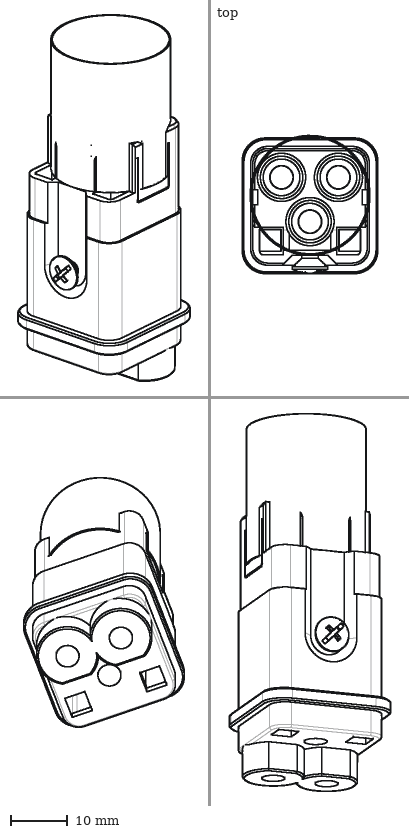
import cadquery as cq
import math

BODY_SIDE = 21.0
BODY_CORNER_R = 3.0
UPPER_INSET = 0.4
BODY_BOTTOM_Z = 5.2
STEP_Z = 30.8
FRONT_WALL_TOP_Z = 38.7
BLOCK_TOP_Z = 48.05
BLOCK_FRONT_Y = -3.75
BLOCK_CHAMFER = 0.4
BLOCK_CHAMFER_HEIGHT = 0.6
BOTTOM_FILLET = 0.45

UPPER_SIDE = BODY_SIDE - 2 * UPPER_INSET
UPPER_CORNER_R = BODY_CORNER_R - UPPER_INSET

FLANGE_SIDE = 24.0
FLANGE_CORNER_R = 4.15
FLANGE_BOTTOM_Z = 9.75
FLANGE_TOP_Z = 12.0
FLANGE_CHAMFER = 0.3

CHAMBER_X = 5.0
CHAMBER_Y = 5.0
CENTRE_CHAMBER_Y = -2.8
CHAMBER_MOUTH_R = 4.25
CHAMBER_MOUTH_BEVEL = 0.5
CHAMBER_NECK_R = 3.25
CHAMBER_HOLE_R = 2.05
FUNNEL_TOP_Z = 19.1
FUNNEL_HEIGHT = 1.9
SOCKET_R = BODY_SIDE / 2 - CHAMBER_X
SOCKET_CHAMFER = 0.3
SOCKET_FRONT_Y = 0.25

COLUMN_HALF_WIDTH = 4.7
COLUMN_FRONT_Y = -7.8
CORE_HALF_WIDTH = 3.7
SHOULDER_R = 3.6
POCKET_OUTER_X = 8.9
POCKET_FRONT_Y = -8.65
POCKET_CORNER_R = 0.65
POCKET_FLOOR = 1.9
OPENING_INNER_X = 5.15
OPENING_BACK_Y = -4.2
OPENING_FRONT_Y = -8.0

SLOT_FLOOR_Y = -8.8
SLOT_FLOOR_HALF_WIDTH = 3.2
SCREW_Z = 22.8
SCREW_NECK_R = 1.45
SCREW_HEAD_R = 3.1
SCREW_CONE_START_Y = -9.3
SCREW_RIM_BACK_Y = -10.8
SCREW_RIM_FRONT_Y = -11.2
SCREW_TIP_Y = -FLANGE_SIDE / 2
CROSS_WIDTH = 0.75
CROSS_LENGTH = 3.1
CROSS_DEPTH = 0.95
DRIVE_SLOT_DEPTH = 0.5
DRIVE_ANGLE = 45

LATCH_Y = 1.5
LATCH_WIDTH = 8.4
LATCH_BOTTOM_Z = 36.55
LATCH_TOP_Z = 45.1
LATCH_CORNER_R = 0.4
GROOVE_WIDTH = 0.25
GROOVE_DEPTH = 0.4
RAMP_WIDTH = 2.6
RAMP_REACH = 0.9
RAMP_HEIGHT = 1.9

OVERALL_DEPTH = 24.45
SLEEVE_DIAMETER = 21.2
SLEEVE_R = SLEEVE_DIAMETER / 2
SLEEVE_WALL = 0.25
SLEEVE_Y = OVERALL_DEPTH - FLANGE_SIDE / 2 - SLEEVE_R
SLEEVE_BOTTOM_Z = FRONT_WALL_TOP_Z
TOTAL_HEIGHT = 63.65


def box(x0, x1, y0, y1, z0, z1):
    """Box between two limits on each axis."""
    return cq.Workplane("XY").box(x1 - x0, y1 - y0, z1 - z0, centered=False).translate((x0, y0, z0))


def rounded_prism(side, corner_r, z0, z1):
    """Upright square prism with rounded vertical edges."""
    prism = cq.Workplane("XY").workplane(offset=z0).rect(side, side).extrude(z1 - z0)
    return prism.edges("|Z").fillet(corner_r)


def make_lower_body():
    body = rounded_prism(BODY_SIDE, BODY_CORNER_R, BODY_BOTTOM_Z, STEP_Z)
    return body.faces("<Z").edges().fillet(BOTTOM_FILLET)


def make_flange():
    flange = rounded_prism(FLANGE_SIDE, FLANGE_CORNER_R, FLANGE_BOTTOM_Z, FLANGE_TOP_Z)
    return flange.faces("<Z or >Z").edges().chamfer(FLANGE_CHAMFER)


def make_upper_body():
    """Low front part, tall rear block with bevelled rim, and the centre column."""
    half = UPPER_SIDE / 2
    low = rounded_prism(UPPER_SIDE, UPPER_CORNER_R, STEP_Z, FRONT_WALL_TOP_Z)

    bevel_z = BLOCK_TOP_Z - BLOCK_CHAMFER_HEIGHT
    bevel_angle = math.degrees(math.atan2(BLOCK_CHAMFER, BLOCK_CHAMFER_HEIGHT))
    straight = rounded_prism(UPPER_SIDE, UPPER_CORNER_R, FRONT_WALL_TOP_Z, bevel_z)
    rim = straight.faces(">Z").wires().toPending().extrude(
        BLOCK_CHAMFER_HEIGHT, taper=bevel_angle, combine=False)
    behind = box(-half, half, BLOCK_FRONT_Y, half, FRONT_WALL_TOP_Z, BLOCK_TOP_Z)
    behind = behind.edges("|Z and <Y").chamfer(BLOCK_CHAMFER)
    rear_block = straight.union(rim).intersect(behind)
    return low.union(rear_block).union(make_column())


def make_column():
    """Column round the centre chamber, with a shoulder rounded off forwards along each side."""
    core = box(-CORE_HALF_WIDTH, CORE_HALF_WIDTH, COLUMN_FRONT_Y, BLOCK_FRONT_Y,
               FRONT_WALL_TOP_Z, BLOCK_TOP_Z)
    shoulders = box(-COLUMN_HALF_WIDTH, COLUMN_HALF_WIDTH, COLUMN_FRONT_Y, BLOCK_FRONT_Y,
                    FRONT_WALL_TOP_Z, BLOCK_TOP_Z)
    shoulders = shoulders.edges(">Z and <Y").fillet(SHOULDER_R)
    return core.union(shoulders)


def make_socket(side):
    """Round socket below one side chamber, cut flat at the front; side is -1 or 1."""
    height = BODY_BOTTOM_Z + BOTTOM_FILLET
    x = side * CHAMBER_X
    socket = cq.Workplane("XY", origin=(x, CHAMBER_Y, 0)).circle(SOCKET_R).extrude(height)
    socket = socket.intersect(
        box(x - SOCKET_R, x + SOCKET_R, SOCKET_FRONT_Y, CHAMBER_Y + SOCKET_R, 0, height))
    return socket.faces("<Z").edges().chamfer(SOCKET_CHAMFER)


def chamber_cutter(x, y):
    """Stepped funnel bore running right through the housing."""
    profile = [
        (0, 0),
        (CHAMBER_HOLE_R, 0),
        (CHAMBER_HOLE_R, FUNNEL_TOP_Z - FUNNEL_HEIGHT),
        (CHAMBER_NECK_R, FUNNEL_TOP_Z),
        (CHAMBER_MOUTH_R - CHAMBER_MOUTH_BEVEL, BLOCK_TOP_Z - CHAMBER_MOUTH_BEVEL),
        (CHAMBER_MOUTH_R, BLOCK_TOP_Z),
        (0, BLOCK_TOP_Z),
    ]
    return cq.Workplane("XZ").polyline(profile).close().revolve(360, (0, 0), (0, 1)).translate((x, y, 0))


def pocket_cutter(side):
    """Deep corner pocket with a square opening in its floor; side is -1 or 1."""
    pocket = box(COLUMN_HALF_WIDTH, POCKET_OUTER_X, POCKET_FRONT_Y, BLOCK_FRONT_Y,
                 BODY_BOTTOM_Z + POCKET_FLOOR, FRONT_WALL_TOP_Z)
    pocket = pocket.edges("|Z and >X and <Y").fillet(POCKET_CORNER_R)
    opening = box(OPENING_INNER_X, POCKET_OUTER_X, OPENING_FRONT_Y, OPENING_BACK_Y,
                  0, BODY_BOTTOM_Z + POCKET_FLOOR)
    cutter = pocket.union(opening)
    return cutter if side > 0 else cutter.mirror("YZ")


def slot_cutter():
    """Open-topped slot in the front wall with flared sides and a conical end."""
    front_y = -BODY_SIDE / 2
    depth = SLOT_FLOOR_Y - front_y
    outer_half_width = SLOT_FLOOR_HALF_WIDTH + depth
    outline = [
        (-SLOT_FLOOR_HALF_WIDTH, SLOT_FLOOR_Y),
        (SLOT_FLOOR_HALF_WIDTH, SLOT_FLOOR_Y),
        (outer_half_width, front_y),
        (-outer_half_width, front_y),
    ]
    channel = cq.Workplane("XY", origin=(0, 0, SCREW_Z)).polyline(outline).close()
    channel = channel.extrude(FRONT_WALL_TOP_Z - SCREW_Z)
    end = cq.Solid.makeCone(SLOT_FLOOR_HALF_WIDTH, outer_half_width, depth,
                            pnt=cq.Vector(0, SLOT_FLOOR_Y, SCREW_Z), dir=cq.Vector(0, -1, 0))
    return channel.union(cq.Workplane(end))


def make_screw_head():
    """Domed countersunk head on a short neck, with a combined cross and slot drive."""
    dome_rise = SCREW_RIM_FRONT_Y - SCREW_TIP_Y
    dome_r = (SCREW_HEAD_R ** 2 + dome_rise ** 2) / (2 * dome_rise)
    half_angle = math.asin(SCREW_HEAD_R / dome_r) / 2
    dome_middle = (dome_r * math.sin(half_angle), SCREW_TIP_Y + dome_r * (1 - math.cos(half_angle)))
    head = (
        cq.Workplane("XY")
        .moveTo(0, SLOT_FLOOR_Y)
        .lineTo(SCREW_NECK_R, SLOT_FLOOR_Y)
        .lineTo(SCREW_NECK_R, SCREW_CONE_START_Y)
        .lineTo(SCREW_HEAD_R, SCREW_RIM_BACK_Y)
        .lineTo(SCREW_HEAD_R, SCREW_RIM_FRONT_Y)
        .threePointArc(dome_middle, (0, SCREW_TIP_Y))
        .close()
        .revolve(360, (0, 0), (0, 1))
    )
    drive = cq.Workplane("XZ", origin=(0, SCREW_TIP_Y, 0))
    cross = drive.rect(CROSS_LENGTH, CROSS_WIDTH).extrude(-CROSS_DEPTH)
    cross = cross.union(drive.rect(CROSS_WIDTH, CROSS_LENGTH).extrude(-CROSS_DEPTH))
    slot = drive.rect(2 * SCREW_HEAD_R, CROSS_WIDTH).extrude(-DRIVE_SLOT_DEPTH)
    cutter = cross.union(slot).rotate((0, 0, 0), (0, 1, 0), -DRIVE_ANGLE)
    return head.cut(cutter).translate((0, 0, SCREW_Z))


def latch_groove_cutter(side):
    """U-shaped groove outlining the latch tongue on one side wall."""
    wall_x = UPPER_SIDE / 2

    def tongue(grow):
        reach = LATCH_WIDTH / 2 + grow
        block = box(wall_x - GROOVE_DEPTH, wall_x, LATCH_Y - reach, LATCH_Y + reach,
                    LATCH_BOTTOM_Z - grow, LATCH_TOP_Z)
        return block.edges("|X and <Z").fillet(LATCH_CORNER_R + grow)

    groove = tongue(GROOVE_WIDTH / 2).cut(tongue(-GROOVE_WIDTH / 2))
    return groove if side > 0 else groove.mirror("YZ")


def latch_ramp_cutter(side):
    """Sloped notch in the top edge of the rear block above the latch."""
    outer_x = UPPER_SIDE / 2
    outline = [
        (outer_x, BLOCK_TOP_Z),
        (outer_x - RAMP_REACH, BLOCK_TOP_Z),
        (outer_x, BLOCK_TOP_Z - RAMP_HEIGHT),
    ]
    notch = cq.Workplane("XZ", origin=(0, LATCH_Y, 0)).polyline(outline).close()
    notch = notch.extrude(RAMP_WIDTH / 2, both=True)
    return notch if side > 0 else notch.mirror("YZ")


def make_sleeve():
    """Thin open tube whose lower end is set into the housing."""
    base = cq.Workplane("XY", origin=(0, SLEEVE_Y, SLEEVE_BOTTOM_Z))
    return base.circle(SLEEVE_R).circle(SLEEVE_R - SLEEVE_WALL).extrude(TOTAL_HEIGHT - SLEEVE_BOTTOM_Z)


def make_housing(sleeve):
    """Housing with its screw head; a matching groove receives the sleeve."""
    housing = make_lower_body().union(make_flange()).union(make_upper_body())
    for side in (-1, 1):
        housing = housing.union(make_socket(side))
    chambers = [(-CHAMBER_X, CHAMBER_Y), (CHAMBER_X, CHAMBER_Y), (0, CENTRE_CHAMBER_Y)]
    for x, y in chambers:
        housing = housing.cut(chamber_cutter(x, y))
    for side in (-1, 1):
        housing = housing.cut(pocket_cutter(side))
        housing = housing.cut(latch_groove_cutter(side))
        housing = housing.cut(latch_ramp_cutter(side))
    housing = housing.cut(slot_cutter()).union(make_screw_head())
    return housing.cut(sleeve)


sleeve = make_sleeve()
housing = make_housing(sleeve)

result = cq.Compound.makeCompound([housing.val(), sleeve.val()])